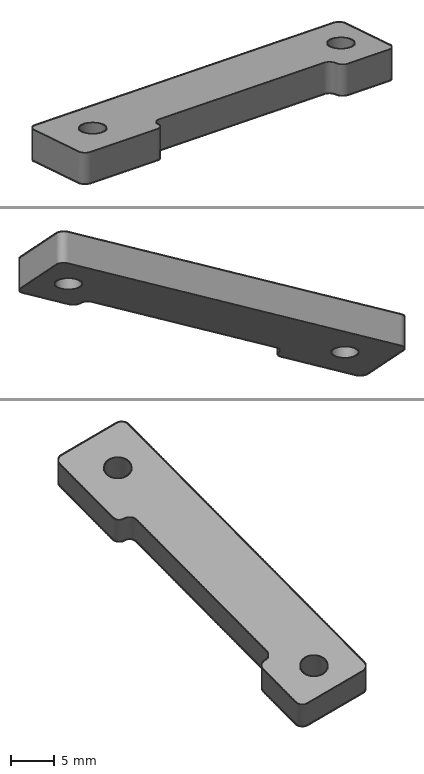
import cadquery as cq

width = 10.0
length = 47.15
thickness = 4.0

corner_radius = 1.0
notch_depth = 2 * corner_radius
notch_top = 15.4
notch_bottom = -11.5

hole_diameter = 3.2
upper_hole_y = 19.5
lower_hole_y = -18.05

right = width / 2
notch_floor = right - notch_depth
step_middle = right - corner_radius


def make_bar():
    bar = cq.Workplane("XY").rect(width, length).extrude(thickness)
    return bar.edges("|Z").fillet(corner_radius)


def make_notch():
    """Side notch whose ends are S-bends of two tangent quarter arcs."""
    return (
        cq.Workplane("XY")
        .moveTo(right, notch_bottom - corner_radius)
        .radiusArc((step_middle, notch_bottom), -corner_radius)
        .radiusArc((notch_floor, notch_bottom + corner_radius), corner_radius)
        .lineTo(notch_floor, notch_top - corner_radius)
        .radiusArc((step_middle, notch_top), corner_radius)
        .radiusArc((right, notch_top + corner_radius), -corner_radius)
        .close()
        .extrude(thickness)
    )


def make_holes():
    return (
        cq.Workplane("XY")
        .pushPoints([(0, upper_hole_y), (0, lower_hole_y)])
        .circle(hole_diameter / 2)
        .extrude(thickness)
    )


result = make_bar().cut(make_notch()).cut(make_holes())